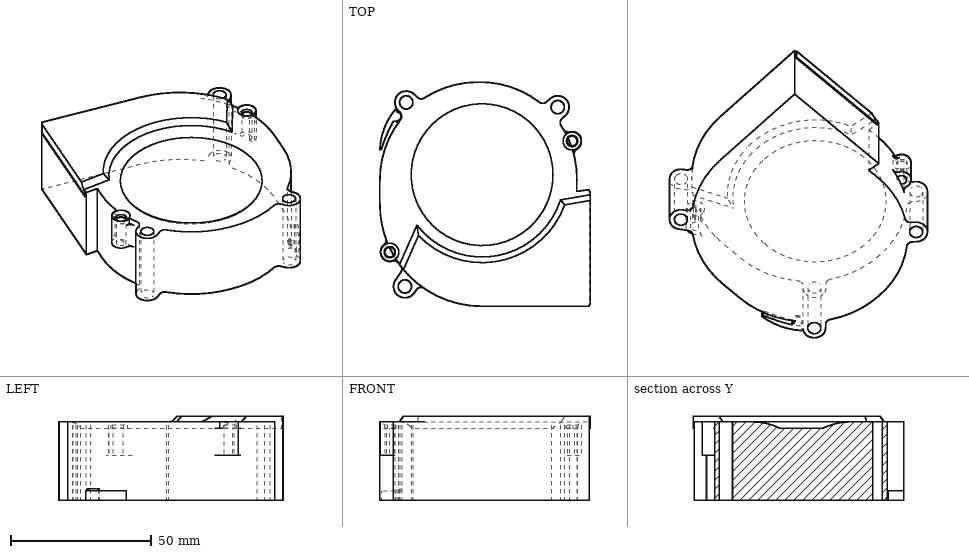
import cadquery as cq
import math


deck_z = 28.0
step_height = 2.0
top_z = deck_z + step_height

base_radius = 36.5
base_center_y = -10.5
left_x = -base_radius
bottom_y = base_center_y - base_radius
crown_radius = 35.0
crown_x = left_x + crown_radius
crown_center_y = -1.9
crown_y = crown_center_y + crown_radius
right_side_mid = (16.1, 28.7)
right_side_end = (33.8, crown_center_y)
throat_corner = (33.8, -5.9)
outlet_x = 38.2
outlet_corner_y = -5.3

lip_thickness = 0.3
lip_z = 25.8
lip_end_gap = 0.7
lip_y_min = bottom_y + lip_end_gap
lip_y_max = outlet_corner_y - lip_end_gap

recess_radius = 29.4
floor_radius = 25.3
recess_depth = 2.2

left_ramp_inner = (-23.0, -17.6)
left_ramp_outer = (-32.0, -37.8)
right_ramp_inner = (27.7, -9.0)
right_ramp_outer = (48.0, -5.5)
deck_reach = 48.0
ramp_angle = 45.0

stem_length = 8.0
stem_fillet = 2.0
match_tolerance = 0.01

mount_centers = [(-27.0, 25.8), (27.0, 24.1), (-27.5, -39.8)]
mount_radius = 4.1
mount_hole_radius = 2.3

screw_bosses = [
    ((-32.9, -27.6), (0.0, base_center_y)),
    ((32.1, 12.0), (0.0, crown_center_y)),
]
screw_radius = 3.4
screw_z = 16.0
screw_stem_top_z = 25.8
screw_hole_radius = 1.8
counterbore_radius = 2.0
counterbore_depth = 2.1
countersink_radius = 3.2
countersink_depth = 1.0

hook_height = 3.4
hook_rim_height = 4.1
hook_rim_center = (-30.5, 20.8)
hook_rim_outer_radius = 2.2
hook_rim_inner_radius = 1.6
hook_root_outer = (-30.9, 23.4)
hook_outer_mid = (-34.5, 17.6)
hook_tip_outer = (left_x, 9.0)
hook_tip_inner = (-35.9, 9.0)
hook_inner_mid = (-33.9, 14.3)
hook_root_inner = (-31.6, 19.0)
hook_anchor_x = -28.0


def scroll(z_min, height):
    """Solid slice of the scroll, with its straight outlet on the +X side."""
    diagonal = math.sqrt(0.5)
    return (
        cq.Workplane("XY", origin=(0, 0, z_min))
        .moveTo(outlet_x, bottom_y)
        .lineTo(0, bottom_y)
        .threePointArc(
            (-base_radius * diagonal, base_center_y - base_radius * diagonal),
            (left_x, base_center_y),
        )
        .lineTo(left_x, crown_center_y)
        .threePointArc(
            (crown_x - crown_radius * diagonal, crown_center_y + crown_radius * diagonal),
            (crown_x, crown_y),
        )
        .threePointArc(right_side_mid, right_side_end)
        .lineTo(*throat_corner)
        .lineTo(outlet_x, outlet_corner_y)
        .close()
        .extrude(height)
    )


def lower_deck_cutter():
    """Removes the raised step around the recess, leaving 45 degree ramps."""
    ramps = (
        cq.Workplane("XY", origin=(0, 0, deck_z))
        .polyline([
            left_ramp_outer,
            left_ramp_inner,
            right_ramp_inner,
            right_ramp_outer,
            (deck_reach, deck_reach),
            (-deck_reach, deck_reach),
            (-deck_reach, left_ramp_outer[1]),
        ])
        .close()
        .extrude(step_height, taper=-ramp_angle)
    )
    cone = (
        cq.Workplane("XY", origin=(0, 0, deck_z))
        .circle(recess_radius)
        .extrude(step_height, taper=-ramp_angle)
    )
    return ramps.union(cone)


def inlet_recess():
    """Shallow round recess with a convex rim that starts tangent to the deck."""
    rim_width = recess_radius - floor_radius
    rim_radius = (rim_width**2 + recess_depth**2) / (2 * recess_depth)
    half_angle = math.asin(rim_width / rim_radius) / 2
    rim_mid = (
        recess_radius - rim_radius * math.sin(half_angle),
        deck_z - rim_radius * (1 - math.cos(half_angle)),
    )
    return (
        cq.Workplane("XZ")
        .moveTo(0, deck_z - recess_depth)
        .lineTo(floor_radius, deck_z - recess_depth)
        .threePointArc(rim_mid, (recess_radius, deck_z))
        .lineTo(0, deck_z)
        .close()
        .revolve(360, (0, 0, 0), (0, 1, 0))
    )


def stemmed_boss(slab, center, target, radius, z_min, height):
    """Add a boss to a slice of the scroll, on a parallel stem aimed at the target."""
    direction = cq.Vector(target[0] - center[0], target[1] - center[1]).normalized()
    plane = cq.Plane(origin=(*center, z_min), xDir=direction, normal=(0, 0, 1))
    boss = cq.Workplane(plane).circle(radius).extrude(height)
    stem = (
        cq.Workplane(plane)
        .rect(stem_length, 2 * radius)
        .extrude(height)
        .translate(direction * (stem_length / 2))
    )
    joined = slab.union(boss.union(stem))

    def is_stem_root(edge):
        """True for a vertical edge on a side of the stem, on the wall side of the boss."""
        point = plane.toLocalCoords(edge.Center())
        beside_stem = abs(abs(point.y) - radius) < match_tolerance
        return beside_stem and match_tolerance < point.x < stem_length

    roots = [edge for edge in joined.edges("|Z").vals() if is_stem_root(edge)]
    return joined.newObject(roots).fillet(stem_fillet)


def deck_body():
    """Scroll up to the deck, with the full-height drilled mounting bosses."""
    body = scroll(0, deck_z)
    for center in mount_centers:
        body = stemmed_boss(body, center, (0.0, 0.0), mount_radius, 0, deck_z)
    holes = cq.Workplane("XY").pushPoints(mount_centers).circle(mount_hole_radius).extrude(deck_z)
    return body.cut(holes)


def add_screw_bosses(body):
    """Short bosses hanging from the deck, each with a stepped, countersunk hole."""
    depth = deck_z - screw_z
    stem_height = screw_stem_top_z - screw_z
    for center, target in screw_bosses:
        slab = scroll(screw_z, stem_height)
        body = body.union(stemmed_boss(slab, center, target, screw_radius, screw_z, stem_height))
        bottom = cq.Workplane("XY", origin=(*center, screw_z))
        top = cq.Workplane("XY", origin=(*center, deck_z))
        body = body.union(bottom.circle(screw_radius).extrude(depth))
        body = body.cut(bottom.circle(screw_hole_radius).extrude(depth))
        body = body.cut(top.circle(counterbore_radius).extrude(-counterbore_depth))
        countersink = (
            top.circle(countersink_radius)
            .workplane(offset=-countersink_depth)
            .circle(counterbore_radius)
            .loft()
        )
        body = body.cut(countersink)
    return body


def cable_hook():
    """Curved finger beside the upper left boss, with a raised rim at its root."""
    finger = (
        cq.Workplane("XY")
        .moveTo(*hook_root_outer)
        .threePointArc(hook_outer_mid, hook_tip_outer)
        .lineTo(*hook_tip_inner)
        .threePointArc(hook_inner_mid, hook_root_inner)
        .lineTo(hook_anchor_x, hook_root_inner[1])
        .lineTo(hook_anchor_x, hook_root_outer[1])
        .close()
        .extrude(hook_height)
    )
    ring = (
        cq.Workplane("XY", origin=(*hook_rim_center, 0))
        .circle(hook_rim_outer_radius)
        .circle(hook_rim_inner_radius)
        .extrude(hook_rim_height)
    )
    inner_side = (
        cq.Workplane("XY", origin=(*hook_rim_center, 0))
        .rect(hook_rim_outer_radius, 2 * hook_rim_outer_radius)
        .extrude(hook_rim_height)
        .translate((hook_rim_outer_radius / 2, 0, 0))
    )
    return finger.union(ring.intersect(inner_side))


def outlet_lip():
    """Thin lip along the upper edge of the outlet face."""
    return cq.Workplane("XY").box(
        lip_thickness, lip_y_max - lip_y_min, top_z - lip_z, centered=False
    ).translate((outlet_x, lip_y_min, lip_z))


housing = deck_body().union(scroll(deck_z, step_height)).union(outlet_lip())
housing = housing.cut(lower_deck_cutter())
housing = add_screw_bosses(housing)
housing = housing.cut(inlet_recess())
result = housing.union(cable_hook())